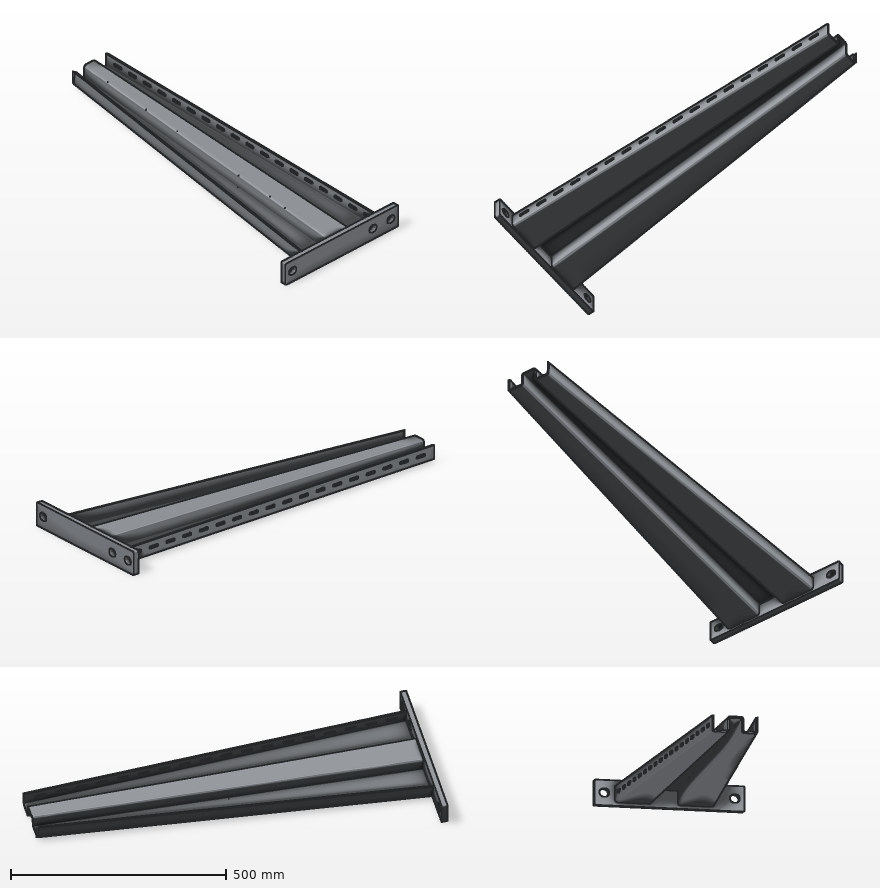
import cadquery as cq
import math

length = 937.0
plate_thickness = 14.0
plate_width = 360.0
plate_height = 60.0
plate_corner_radius = 4.0
plate_hole_length = 23.0
plate_hole_height = 20.0
plate_hole_places = [156.5, 99.0, -156.5]

sheet = 4.2
inner_bend = 3.0
outer_bend = inner_bend + sheet
arm_top = 16.0
arm_bottom = -22.5
arm_length = length - plate_thickness

tip_walls = (131.0, 94.0, 55.0, 22.0)
root_walls = (131.0, 48.0, -23.0, -107.0)

hat_top_setback = 1.0
hat_bottom_setback = 3.0
flange_bottom_setback = 4.0
flange_top_setback = 7.5

slot_count = 18
first_slot_x = 40.0
last_slot_x = 888.0
slot_pitch = (last_slot_x - first_slot_x) / (slot_count - 1)
slot_length = 25.0
slot_height = 7.0
slot_z = -1.0


def toward(start, end, distance):
    """Point at a given distance from start on the line to end."""
    ratio = distance / math.dist(start, end)
    return tuple(a + (b - a) * ratio for a, b in zip(start, end))


def rounded_outline(workplane, corners):
    """Closed outline through (y, z, radius) corners, each rounded by an arc unless its radius is 0."""
    outline = None
    for index, (y, z, radius) in enumerate(corners):
        corner = (y, z)
        before = corners[index - 1][:2]
        after = corners[(index + 1) % len(corners)][:2]
        arc_start = toward(corner, before, radius)
        outline = outline.lineTo(*arc_start) if outline else workplane.moveTo(*arc_start)
        if radius:
            arc_end = toward(corner, after, radius)
            chord_middle = toward(arc_start, arc_end, math.dist(arc_start, arc_end) / 2)
            arc_middle = toward(corner, chord_middle, radius * (math.sqrt(2) - 1))
            outline = outline.threePointArc(arc_middle, arc_end)
    return outline.close()


def arm_section(walls):
    """Corners (y, z, radius) of the folded sheet: two channels joined by a raised hat."""
    back, hat_back, hat_front, front = walls
    floor_top = arm_bottom + sheet
    hat_underside = arm_top - sheet
    return [
        (back, arm_top, 0),
        (back, arm_bottom, outer_bend),
        (hat_back - sheet, arm_bottom, outer_bend),
        (hat_back - sheet, hat_underside, inner_bend),
        (hat_front + sheet, hat_underside, inner_bend),
        (hat_front + sheet, arm_bottom, outer_bend),
        (front, arm_bottom, outer_bend),
        (front, arm_top, 0),
        (front + sheet, arm_top, 0),
        (front + sheet, floor_top, inner_bend),
        (hat_front, floor_top, inner_bend),
        (hat_front, arm_top, outer_bend),
        (hat_back, arm_top, outer_bend),
        (hat_back, floor_top, inner_bend),
        (back - sheet, floor_top, inner_bend),
        (back - sheet, arm_top, 0),
    ]


def tapered_arm():
    tip = rounded_outline(cq.Workplane("YZ"), arm_section(tip_walls))
    root = tip.workplane(offset=arm_length)
    return rounded_outline(root, arm_section(root_walls)).loft(ruled=True, combine=True)


def setback_outline(workplane, hat_setback, flange_setback):
    """Plan of the material taken off the front channel's end at one height."""
    hat_front, front = tip_walls[2:]
    return workplane.polyline([
        (0, hat_front + outer_bend),
        (hat_setback, hat_front + sheet),
        (flange_setback, front),
        (0, front),
    ]).close()


def tip_cutter():
    """Wedge that sets the end of the front channel back, most at the top of the front flange."""
    floor_plane = cq.Workplane("XY", origin=(0, 0, arm_bottom))
    floor_plan = setback_outline(floor_plane, hat_bottom_setback, flange_bottom_setback)
    top_plane = floor_plan.workplane(offset=arm_top - arm_bottom)
    top_plan = setback_outline(top_plane, hat_top_setback, flange_top_setback)
    return top_plan.loft(ruled=True, combine=True)


def flange_slots():
    row_middle = (first_slot_x + last_slot_x) / 2
    return (
        cq.Workplane("XZ", origin=(row_middle, tip_walls[0], slot_z))
        .rarray(slot_pitch, 9, slot_count, 1)
        .slot2D(slot_length, slot_height)
        .extrude(sheet)
    )


def mounting_plate():
    return (
        cq.Workplane("YZ", origin=(arm_length, 0, 0))
        .rect(plate_width, plate_height)
        .extrude(plate_thickness)
        .edges("|X").fillet(plate_corner_radius)
        .faces("<X").workplane(origin=(arm_length, 0, 0))
        .pushPoints([(-y, 0) for y in plate_hole_places])
        .slot2D(plate_hole_length, plate_hole_height)
        .cutThruAll()
    )


arm = tapered_arm().cut(tip_cutter()).cut(flange_slots())
result = mounting_plate().union(arm)